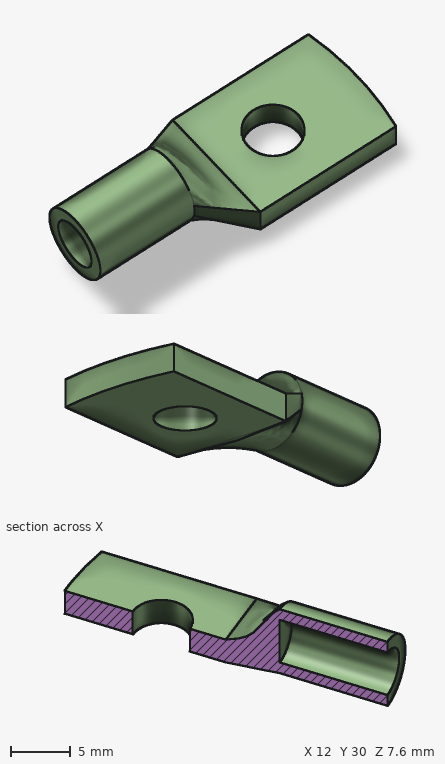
import cadquery as cq
import math

length = 30.0
palm_width = 12.0
palm_thickness = 2.52
overall_height = 7.6
tip_rise = 0.6
stud_hole_diameter = 5.28
stud_hole_y = 21.0
barrel_diameter = 7.0
bore_diameter = 4.55
barrel_length = 10.0
palm_start = 15.0

crest_heights = [3.12, 4.15, 6.0]

half_width = palm_width / 2
barrel_radius = barrel_diameter / 2
barrel_axis_z = overall_height - barrel_radius
corner_angle = math.atan2(palm_thickness / 2, half_width)


def make_palm():
    """Flat plate with an arched tip and a through stud hole."""
    tip_corner_y = length - tip_rise
    return (
        cq.Workplane("XY")
        .moveTo(-half_width, palm_start)
        .lineTo(half_width, palm_start)
        .lineTo(half_width, tip_corner_y)
        .threePointArc((0, length), (-half_width, tip_corner_y))
        .close()
        .extrude(palm_thickness)
        .cut(
            cq.Workplane("XY")
            .center(0, stud_hole_y)
            .circle(stud_hole_diameter / 2)
            .extrude(palm_thickness)
        )
    )


def make_barrel():
    """Round tube, its bore closed by the neck."""
    return (
        cq.Workplane("XZ", origin=(0, 0, barrel_axis_z))
        .circle(barrel_radius)
        .circle(bore_diameter / 2)
        .extrude(-barrel_length)
    )


def blend(palm_value, barrel_value, fraction):
    """Value part way from the palm to the barrel."""
    return palm_value + (barrel_value - palm_value) * fraction


def neck_section(fraction, crest_z):
    """Four-sided outline across the neck; fraction is 0 at the palm and 1 at the barrel."""
    y = blend(palm_start, barrel_length, fraction)
    corner_x = blend(half_width, barrel_radius * math.cos(corner_angle), fraction)
    rim_rise = barrel_radius * math.sin(corner_angle)
    upper_z = blend(palm_thickness, barrel_axis_z + rim_rise, fraction)
    lower_z = blend(0, barrel_axis_z - rim_rise, fraction)
    side_x = blend(half_width, barrel_radius, fraction)
    bottom_z = blend(0, barrel_axis_z - barrel_radius, fraction)
    side_z = (upper_z + lower_z) / 2

    corners = [
        cq.Vector(corner_x, y, upper_z),
        cq.Vector(-corner_x, y, upper_z),
        cq.Vector(-corner_x, y, lower_z),
        cq.Vector(corner_x, y, lower_z),
    ]
    middles = [
        cq.Vector(0, y, crest_z),
        cq.Vector(-side_x, y, side_z),
        cq.Vector(0, y, bottom_z),
        cq.Vector(side_x, y, side_z),
    ]
    edges = []
    for i, middle in enumerate(middles):
        start, end = corners[i], corners[(i + 1) % 4]
        if fraction == 0:
            edges.append(cq.Edge.makeLine(start, end))
        else:
            edges.append(cq.Edge.makeThreePointArc(start, middle, end))
    return cq.Wire.assembleEdges(edges)


def make_neck():
    """Solid neck changing smoothly from the flat palm to the round barrel."""
    section_heights = [palm_thickness, *crest_heights, overall_height]
    steps = len(section_heights) - 1
    sections = [neck_section(i / steps, crest_z) for i, crest_z in enumerate(section_heights)]
    return cq.Workplane(cq.Solid.makeLoft(sections))


result = make_palm().union(make_neck()).union(make_barrel())